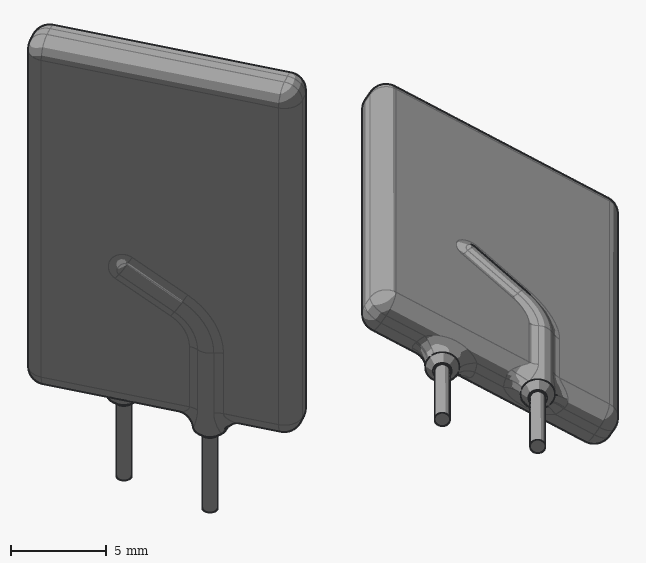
import cadquery as cq
import math

body_width = 15.0
body_thickness = 2.5
body_height = 23.0
body_round = 1.0

overall_thickness = 3.0
bead_radius = 0.9
bead_blend = 1.0
bead_drop = 1.0
bead_foot_chamfer = 0.4
bead_tip_round = 0.5
bead_rise = 5.0
bend_radius = 3.0
bend_angle = 60.0
bead_end_length = 4.0

overall_height = 29.0
lead_radius = 0.4
lead_length = overall_height - body_height
lead_x = 2.55
lead_y = bead_radius - overall_thickness / 2

contact_tolerance = 0.0003


def make_body():
    block = cq.Workplane("XY").box(body_width, body_thickness, body_height, centered=(True, True, False))
    return block.edges().fillet(body_round)


def bend_point(angle_degrees):
    """Point (x, z) on the bend, at an angle measured from its lower end."""
    angle = math.radians(angle_degrees)
    x = lead_x - bend_radius * (1 - math.cos(angle))
    z = bead_rise + bend_radius * math.sin(angle)
    return x, z


def make_bead():
    """Round bead of the lead on the -Y side, chamfered at its foot and rounded at its tip."""
    slope = math.radians(bend_angle)
    bend_end_x, bend_end_z = bend_point(bend_angle)
    tip_x = bend_end_x - bead_end_length * math.sin(slope)
    tip_z = bend_end_z + bead_end_length * math.cos(slope)

    path = (
        cq.Workplane("XZ", origin=(0, lead_y, 0))
        .moveTo(lead_x, -bead_drop)
        .lineTo(lead_x, bead_rise)
        .threePointArc(bend_point(bend_angle / 2), (bend_end_x, bend_end_z))
        .lineTo(tip_x, tip_z)
    )
    rod = cq.Workplane("XY", origin=(lead_x, lead_y, -bead_drop)).circle(bead_radius).sweep(path)
    rod = rod.faces("<Z").edges().chamfer(bead_foot_chamfer)
    tip_face = cq.selectors.NearestToPointSelector((tip_x, lead_y, tip_z))
    return rod.faces(tip_face).edges().fillet(bead_tip_round)


def make_lead():
    """Wire on the -Y side, ending inside the bead at the height of the lower body face."""
    return cq.Workplane("XY", origin=(lead_x, lead_y, -lead_length)).circle(lead_radius).extrude(lead_length)


def opposite(shape):
    """The same shape on the +Y side, half a turn about the vertical axis."""
    return shape.rotate((0, 0, 0), (0, 0, 1), 180)


def skin(shape):
    """All faces of a shape gathered as one surface for distance checks."""
    return cq.Compound.makeCompound(shape.faces().vals())


def blend_bead(body, bead):
    """Join a bead to the body and round the inside corner where they meet."""
    body_skin = skin(body)
    bead_skin = skin(bead)
    joined = body.union(bead)

    def is_joint(edge):
        middle = cq.Vertex.makeVertex(*edge.positionAt(0.5).toTuple())
        return all(middle.distance(surface) < contact_tolerance for surface in (body_skin, bead_skin))

    joint_edges = [edge for edge in joined.edges().vals() if is_joint(edge)]
    return joined.newObject(joint_edges).fillet(bead_blend)


bead = make_bead()
lead = make_lead()
result = blend_bead(make_body(), bead)
result = blend_bead(result, opposite(bead))
result = result.union(lead).union(opposite(lead))